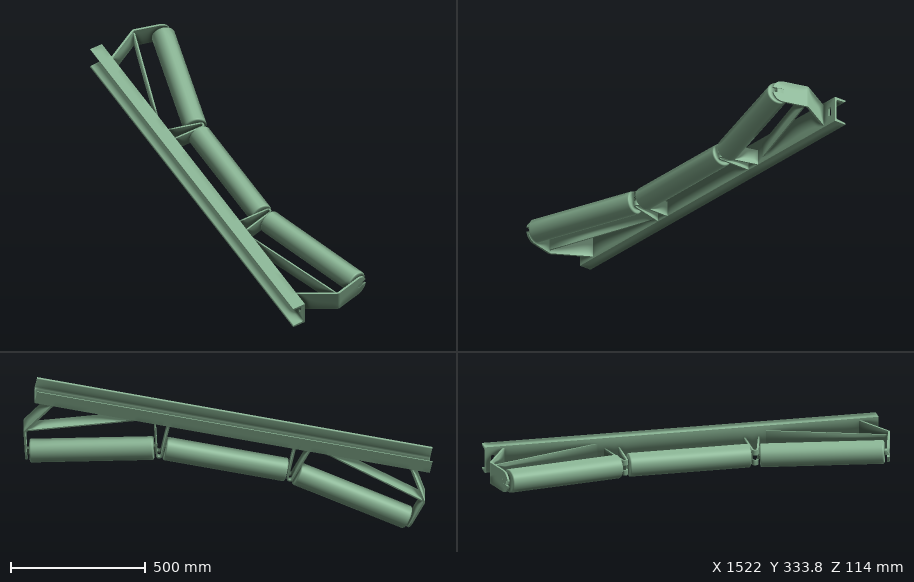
import cadquery as cq
import math

beam_length = 1500.0
beam_height = 100.0
beam_depth = 50.0
web_thickness = 6.0
flange_thickness = 8.5
flange_slope = 0.08
root_radius = 8.5
toe_radius = 5.0
bolt_slot_width = 15.0
bolt_slot_height = 37.0
bolt_slot_inset = 30.0

drum_diameter = 88.0
drum_length = 461.0
drum_edge_radius = 6.0
end_tongue_length = 17.0
tongue_depth = 25.0
tongue_thickness = 18.0
slot_overreach = 21.0
roller_drop = 20.0
centre_roller_y = 115.0
wing_x = 493.0
wing_y = 183.0
wing_angle = 15.0
wing_tilt = 2.5
wing_z = -roller_drop / 2

end_width = 84.0
end_thickness = 8.0
end_reach = 761.0
end_bend_y = 140.0
end_foot_angle = 30.0
end_leg_length = 137.0
end_bend_radius = 15.0
end_corner_radius = 41.0

middle_width = 60.0
middle_thickness = 6.0
middle_face_x = 236.0
middle_top_y = 146.0
middle_bend_radius = 12.0

brace_width = 60.0
brace_thickness = 5.3
brace_foot_x = 321.0
brace_angle = 18.4

leg_sin = math.sin(math.radians(wing_angle))
leg_cos = math.cos(math.radians(wing_angle))
leg_tan = leg_sin / leg_cos

middle_tongue_length = middle_face_x + middle_thickness - drum_length / 2


def make_beam():
    half = beam_height / 2
    mid_depth = beam_depth / 2
    toe_z = half - flange_thickness + flange_slope * mid_depth
    root_z = half - flange_thickness - flange_slope * (mid_depth - web_thickness)
    beam = (
        cq.Workplane("YZ")
        .polyline([
            (0, -half), (0, half), (-beam_depth, half), (-beam_depth, toe_z),
            (-web_thickness, root_z), (-web_thickness, -root_z),
            (-beam_depth, -toe_z), (-beam_depth, -half),
        ])
        .close()
        .extrude(beam_length / 2, both=True)
    )
    for side in (1, -1):
        root = cq.selectors.NearestToPointSelector((0, -web_thickness, side * root_z))
        toe = cq.selectors.NearestToPointSelector((0, -beam_depth, side * toe_z))
        beam = beam.edges("|X").edges(root).fillet(root_radius)
        beam = beam.edges("|X").edges(toe).fillet(toe_radius)
    slot_x = beam_length / 2 - bolt_slot_inset
    slots = (
        cq.Workplane("XZ")
        .pushPoints([(-slot_x, 0), (slot_x, 0)])
        .slot2D(bolt_slot_height, bolt_slot_width, 90)
        .extrude(web_thickness)
    )
    return beam.cut(slots)


def make_roller(left_tongue_length, right_tongue_length):
    """Roller with its drum centred on the origin and its axis along X."""
    drum = (
        cq.Workplane("XY", origin=(-drum_length / 2, 0, 0))
        .transformed(rotate=(0, 90, 0))
        .circle(drum_diameter / 2)
        .extrude(drum_length)
        .edges()
        .fillet(drum_edge_radius)
    )
    tongues = (
        cq.Workplane("YZ", origin=(-drum_length / 2 - left_tongue_length, 0, 0))
        .rect(tongue_depth, tongue_thickness)
        .extrude(drum_length + left_tongue_length + right_tongue_length)
    )
    return drum.union(tongues)


def make_slot_cutter():
    """Slots open towards +Y for both tongues of a roller whose drum is centred on the origin."""
    return (
        cq.Workplane("XY", origin=(0, -tongue_depth / 2, 0))
        .box(
            drum_length + 2 * slot_overreach, drum_diameter, tongue_thickness,
            centered=(True, False, True),
        )
    )


def place_centre(body):
    return body.translate((0, centre_roller_y, -roller_drop))


def place_left_wing(body):
    return (
        body.rotate((0, 0, 0), (0, 1, 0), wing_tilt)
        .rotate((0, 0, 0), (0, 0, 1), -wing_angle)
        .translate((-wing_x, wing_y, wing_z))
    )


def make_end_bracket():
    foot_sin = math.sin(math.radians(end_foot_angle))
    foot_cos = math.cos(math.radians(end_foot_angle))
    outer = end_bend_radius
    inner = end_bend_radius - end_thickness
    bend_x = -end_reach + outer

    def foot_points(radius):
        """Foot and tangent point of the lower leg's face at this distance from the bend axis."""
        tangent = (bend_x - radius * foot_cos, end_bend_y - radius * foot_sin)
        foot = (tangent[0] + tangent[1] * foot_sin / foot_cos, 0)
        return foot, tangent

    def top_points(radius):
        """Tangent point and top end of the upper leg's face at this distance from the bend axis."""
        tangent = (bend_x - radius * leg_cos, end_bend_y + radius * leg_sin)
        top = (tangent[0] + end_leg_length * leg_sin, tangent[1] + end_leg_length * leg_cos)
        return tangent, top

    outer_foot, outer_low = foot_points(outer)
    outer_high, outer_top = top_points(outer)
    inner_foot, inner_low = foot_points(inner)
    inner_high, inner_top = top_points(inner)
    plate = (
        cq.Workplane("XY")
        .moveTo(*outer_foot)
        .lineTo(*outer_low)
        .threePointArc((bend_x - outer, end_bend_y), outer_high)
        .lineTo(*outer_top)
        .lineTo(*inner_top)
        .lineTo(*inner_high)
        .threePointArc((bend_x - inner, end_bend_y), inner_low)
        .lineTo(*inner_foot)
        .close()
        .extrude(end_width / 2, both=True)
    )
    across_plate = cq.selectors.ParallelDirSelector(cq.Vector(leg_cos, -leg_sin, 0))
    plate = plate.edges(across_plate).edges(">Y").fillet(end_corner_radius)
    return plate.cut(place_left_wing(make_slot_cutter()))


def make_middle_bracket():
    outer = middle_bend_radius
    inner = middle_bend_radius - middle_thickness
    bend_x = -middle_face_x - outer
    bend_y = middle_top_y - outer

    def leaning_leg(radius):
        """Tangent point and foot of the leaning leg's face at this distance from the bend axis."""
        tangent = (bend_x - radius * leg_cos, bend_y + radius * leg_sin)
        foot = (tangent[0] - tangent[1] * leg_tan, 0)
        return tangent, foot

    outer_tangent, outer_foot = leaning_leg(outer)
    inner_tangent, inner_foot = leaning_leg(inner)
    bracket = (
        cq.Workplane("XY")
        .moveTo(bend_x + outer, 0)
        .lineTo(bend_x + outer, bend_y)
        .threePointArc((bend_x, bend_y + outer), outer_tangent)
        .lineTo(*outer_foot)
        .lineTo(*inner_foot)
        .lineTo(*inner_tangent)
        .threePointArc((bend_x, bend_y + inner), (bend_x + inner, bend_y))
        .lineTo(bend_x + inner, 0)
        .close()
        .extrude(middle_width / 2, both=True)
        .translate((0, 0, -roller_drop))
    )
    cutter = make_slot_cutter()
    return bracket.cut(place_centre(cutter)).cut(place_left_wing(cutter))


def make_brace(end_bracket):
    """Bar run past the bend of the end bracket, then trimmed to the bracket's inner face."""
    slope_tan = math.tan(math.radians(brace_angle))
    rise = (end_reach - brace_foot_x) * slope_tan
    thickness_y = brace_thickness / math.cos(math.radians(brace_angle))
    bar = (
        cq.Workplane("XY")
        .polyline([
            (-brace_foot_x, 0), (-end_reach, rise),
            (-end_reach, rise - thickness_y), (-brace_foot_x - thickness_y / slope_tan, 0),
        ])
        .close()
        .extrude(brace_width / 2, both=True)
    )
    return bar.cut(end_bracket).solids(">X")


beam = make_beam()
centre_roller = place_centre(make_roller(middle_tongue_length, middle_tongue_length))
wing_roller = place_left_wing(make_roller(end_tongue_length, middle_tongue_length))
end_bracket = make_end_bracket()
middle_bracket = make_middle_bracket()
brace = make_brace(end_bracket)

bodies = [beam.val(), centre_roller.val()]
for left_body in (wing_roller, end_bracket, middle_bracket, brace):
    bodies += [left_body.val(), left_body.mirror("YZ").val()]

result = cq.Compound.makeCompound(bodies)